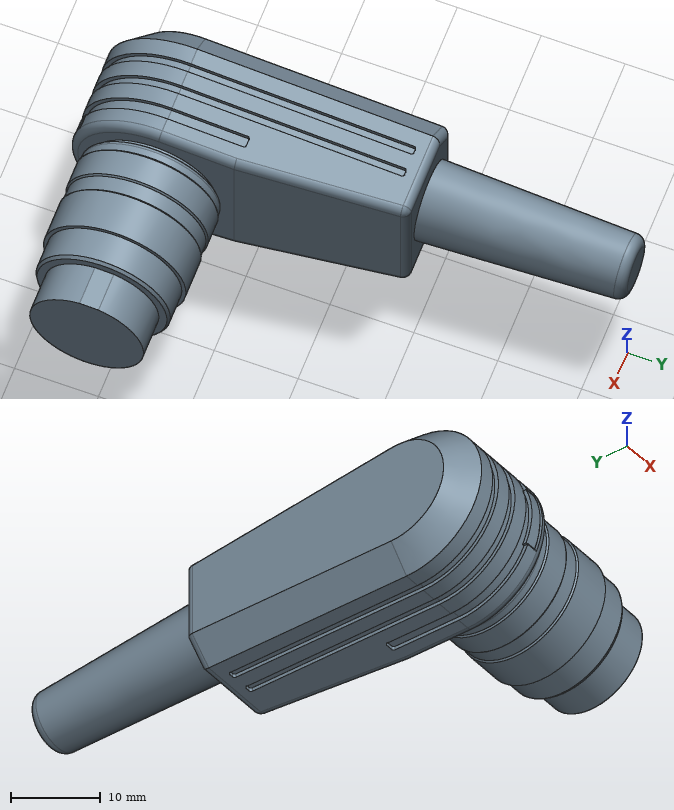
import cadquery as cq
import math


OVERALL_LENGTH = 64.3
HOUSING_HEIGHT = 20.0
HOUSING_RADIUS = HOUSING_HEIGHT / 2
HOUSING_DEPTH = 15.0
HOUSING_END_Y = 29.7
HOUSING_END_HALF_HEIGHT = 8.05
BACK_CHAMFER = 3.0
FRONT_FILLET = 0.95
END_FILLET = 1.0
SLOPE_START_Y = 9.6
SLOPE_END_X = 13.25
FRONT_FACING = 0.9

GROOVE_DEPTH = 0.5
GROOVE_END_RADIUS = 0.25
GROOVES = [
    (5.0, 6.05, 27.5),
    (8.0, 9.0, 27.5),
    (11.0, 12.4, 9.95),
]

TAB_BACK_X = 12.15
TAB_FRONT_X = 13.6
TAB_HALF_WIDTH = 4.0
TAB_RECESS = 0.05
TAB_GAP_WIDTH = 0.3
TAB_GAP_DEPTH = 0.4

CUTTER_MARGIN = 0.65

SLEEVE_AXIS_X = 6.7
SLEEVE_ROOT_DIAMETER = 9.6
SLEEVE_TIP_DIAMETER = 7.6
SLEEVE_TIP_FILLET = 1.2

NECK_DIAMETER = 14.9
COLLAR_DIAMETER = 16.6
RING_DIAMETER = 17.0
FRONT_DIAMETER = 16.0
FRONT_RIM_DIAMETER = 15.5
TIP_DIAMETER = 13.55
COLLAR_BACK_X = 15.5
RING_1_BACK_X = 17.05
RING_1_FRONT_X = 20.4
RING_2_BACK_X = 22.2
RING_2_FRONT_X = 27.2
FRONT_END_X = 31.2
TIP_END_X = 36.0
COLLAR_FILLET = 0.5
FRONT_RIM_LENGTH = 0.4

FLAT_LOW_Y = -0.85
FLAT_HIGH_Y = 1.4

END_DISTANCE = math.hypot(HOUSING_END_Y, HOUSING_END_HALF_HEIGHT)
END_BEARING = math.atan2(HOUSING_END_Y, HOUSING_END_HALF_HEIGHT)
TAPER_ANGLE = END_BEARING - math.acos(HOUSING_RADIUS / END_DISTANCE)


def housing_outline(inset, back_x):
    """Teardrop outline moved inwards by inset, on the plane X = back_x."""
    radius = HOUSING_RADIUS - inset
    tangent_y = radius * math.sin(TAPER_ANGLE)
    tangent_z = radius * math.cos(TAPER_ANGLE)
    end_z = tangent_z - (HOUSING_END_Y - tangent_y) * math.tan(TAPER_ANGLE)
    return (
        cq.Workplane("YZ", origin=(back_x, 0, 0))
        .moveTo(HOUSING_END_Y, end_z)
        .lineTo(tangent_y, tangent_z)
        .threePointArc((-radius, 0), (tangent_y, -tangent_z))
        .lineTo(HOUSING_END_Y, -end_z)
        .close()
    )


def box_between(low, high):
    """Box spanning two opposite corners."""
    sizes = [b - a for a, b in zip(low, high)]
    return cq.Workplane("XY").box(*sizes, centered=False).translate(low)


def make_housing():
    """Bevelled teardrop body with a sloping front face, before the grooves are cut."""
    straight = housing_outline(0, BACK_CHAMFER).extrude(HOUSING_DEPTH - BACK_CHAMFER)
    bevel = cq.Workplane("XY").newObject([
        cq.Solid.makeLoft([
            housing_outline(BACK_CHAMFER, 0).wire().val(),
            housing_outline(0, BACK_CHAMFER).wire().val(),
        ], ruled=True)
    ])
    side_shape = (
        cq.Workplane("XY", origin=(0, 0, -HOUSING_RADIUS))
        .moveTo(0, -HOUSING_RADIUS)
        .lineTo(HOUSING_DEPTH, -HOUSING_RADIUS)
        .lineTo(HOUSING_DEPTH, SLOPE_START_Y)
        .lineTo(SLOPE_END_X, HOUSING_END_Y)
        .lineTo(0, HOUSING_END_Y)
        .close()
        .extrude(HOUSING_HEIGHT)
    )
    housing = straight.union(bevel).intersect(side_shape)
    front_faces = housing.faces().filter(lambda face: face.normalAt().x > FRONT_FACING)
    rim = front_faces.edges("not(|Z)")
    housing = housing.newObject(rim.vals()).fillet(FRONT_FILLET)
    return housing.faces(">Y").edges().fillet(END_FILLET)


def groove_cutter(back_x, front_x, end_y):
    """Band that follows the outline around the round end and stops at end_y on both sides."""
    ring = housing_outline(-CUTTER_MARGIN, back_x).extrude(front_x - back_x)
    core = housing_outline(GROOVE_DEPTH, back_x).extrude(front_x - back_x)
    reach = HOUSING_HEIGHT
    limit = (
        box_between((back_x, -reach, -reach), (front_x, end_y, reach))
        .faces(">Y").edges("|Z").fillet(GROOVE_END_RADIUS)
    )
    return ring.cut(core).intersect(limit)


def tab_block(radius, back_x, front_x):
    """Piece of a round bar facing -Y, as wide as the latch tab."""
    bar = cq.Workplane("YZ", origin=(back_x, 0, 0)).circle(radius).extrude(front_x - back_x)
    window = box_between(
        (back_x, -HOUSING_RADIUS - CUTTER_MARGIN, -TAB_HALF_WIDTH),
        (front_x, -HOUSING_RADIUS / 2, TAB_HALF_WIDTH),
    )
    return bar.intersect(window)


def make_sleeve():
    """Tapered cable sleeve, rooted just inside the housing end."""
    root_radius = SLEEVE_ROOT_DIAMETER / 2
    tip_radius = SLEEVE_TIP_DIAMETER / 2
    root_y = HOUSING_END_Y - END_FILLET
    tip_y = OVERALL_LENGTH - HOUSING_RADIUS
    return (
        cq.Workplane("XY")
        .moveTo(SLEEVE_AXIS_X, root_y)
        .lineTo(SLEEVE_AXIS_X + root_radius, root_y)
        .lineTo(SLEEVE_AXIS_X + root_radius, HOUSING_END_Y)
        .lineTo(SLEEVE_AXIS_X + tip_radius, tip_y)
        .lineTo(SLEEVE_AXIS_X, tip_y)
        .close()
        .revolve(360, (SLEEVE_AXIS_X, 0, 0), (SLEEVE_AXIS_X, 1, 0))
        .faces(">Y").edges().fillet(SLEEVE_TIP_FILLET)
    )


def make_plug():
    """Turned plug with two bevelled grip rings and a stepped front, rooted inside the housing."""
    root_x = HOUSING_DEPTH - FRONT_FILLET
    neck = NECK_DIAMETER / 2
    collar = COLLAR_DIAMETER / 2
    ring = RING_DIAMETER / 2
    front = FRONT_DIAMETER / 2
    tip = TIP_DIAMETER / 2
    ring_bevel = ring - collar
    fillet_reach = COLLAR_FILLET * math.sqrt(0.5)
    plug = (
        cq.Workplane("XY")
        .moveTo(root_x, 0)
        .lineTo(root_x, neck)
        .lineTo(COLLAR_BACK_X, neck)
        .lineTo(COLLAR_BACK_X, collar - COLLAR_FILLET)
        .threePointArc(
            (COLLAR_BACK_X + COLLAR_FILLET - fillet_reach, collar - COLLAR_FILLET + fillet_reach),
            (COLLAR_BACK_X + COLLAR_FILLET, collar),
        )
        .lineTo(RING_1_BACK_X - ring_bevel, collar)
        .lineTo(RING_1_BACK_X, ring)
        .lineTo(RING_1_FRONT_X - ring_bevel, ring)
        .lineTo(RING_1_FRONT_X, collar)
        .lineTo(RING_2_BACK_X, collar)
        .lineTo(RING_2_BACK_X + ring_bevel, ring)
        .lineTo(RING_2_FRONT_X, ring)
        .lineTo(RING_2_FRONT_X, front)
        .lineTo(FRONT_END_X - FRONT_RIM_LENGTH, front)
        .lineTo(FRONT_END_X, FRONT_RIM_DIAMETER / 2)
        .lineTo(FRONT_END_X, tip)
        .lineTo(TIP_END_X, tip)
        .lineTo(TIP_END_X, 0)
        .close()
        .revolve(360, (0, 0, 0), (1, 0, 0))
    )
    flat_cutter = (
        cq.Workplane("YZ", origin=(FRONT_END_X, 0, 0))
        .moveTo(FLAT_LOW_Y, math.sqrt(tip**2 - FLAT_LOW_Y**2))
        .lineTo(FLAT_HIGH_Y, math.sqrt(tip**2 - FLAT_HIGH_Y**2))
        .lineTo(FLAT_HIGH_Y, tip + CUTTER_MARGIN)
        .lineTo(FLAT_LOW_Y, tip + CUTTER_MARGIN)
        .close()
        .extrude(TIP_END_X - FRONT_END_X)
    )
    return plug.cut(flat_cutter)


housing = make_housing()
for groove in GROOVES:
    housing = housing.cut(groove_cutter(*groove))

pocket_front_x = TAB_FRONT_X + TAB_GAP_WIDTH
pocket_outside = tab_block(HOUSING_RADIUS + CUTTER_MARGIN, TAB_BACK_X, pocket_front_x)
pocket_floor = tab_block(HOUSING_RADIUS - TAB_GAP_DEPTH, TAB_BACK_X, pocket_front_x)
tab_pocket = pocket_outside.cut(pocket_floor)
tab = tab_block(HOUSING_RADIUS - TAB_RECESS, TAB_BACK_X, TAB_FRONT_X)
housing = housing.cut(tab_pocket).union(tab)

result = housing.union(make_sleeve()).union(make_plug())